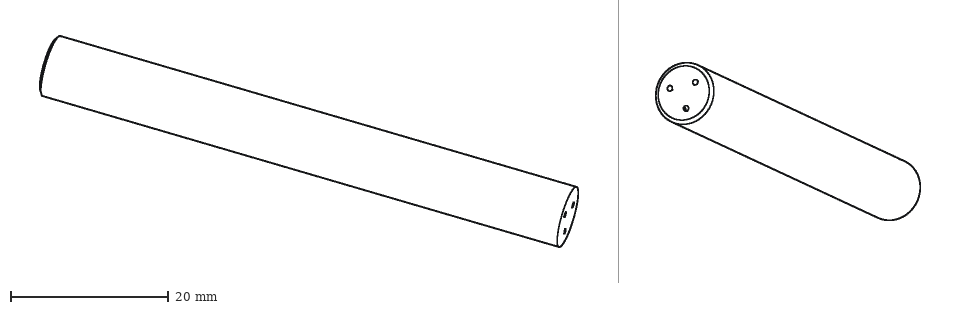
import cadquery as cq

rod_length = 70.0
rod_diameter = 8.0

bevel_length = 0.35
bevel_depth = 0.5

channel_count = 3
channel_diameter = 0.7
channel_circle_radius = 2.0
channel_start_angle = 21.0
channel_twist = 1178


def make_rod():
    radius = rod_diameter / 2
    half_section = (
        cq.Workplane("XY")
        .moveTo(0, 0)
        .lineTo(0, radius - bevel_depth)
        .lineTo(bevel_length, radius)
        .lineTo(rod_length, radius)
        .lineTo(rod_length, 0)
        .close()
    )
    return half_section.revolve(360, (0, 0, 0), (1, 0, 0))


def make_channels():
    """Off-centre circles swept along X while turning about the rod axis."""
    return (
        cq.Workplane("YZ")
        .polarArray(channel_circle_radius, channel_start_angle, 360, channel_count)
        .circle(channel_diameter / 2)
        .twistExtrude(rod_length, channel_twist)
    )


result = make_rod().cut(make_channels())